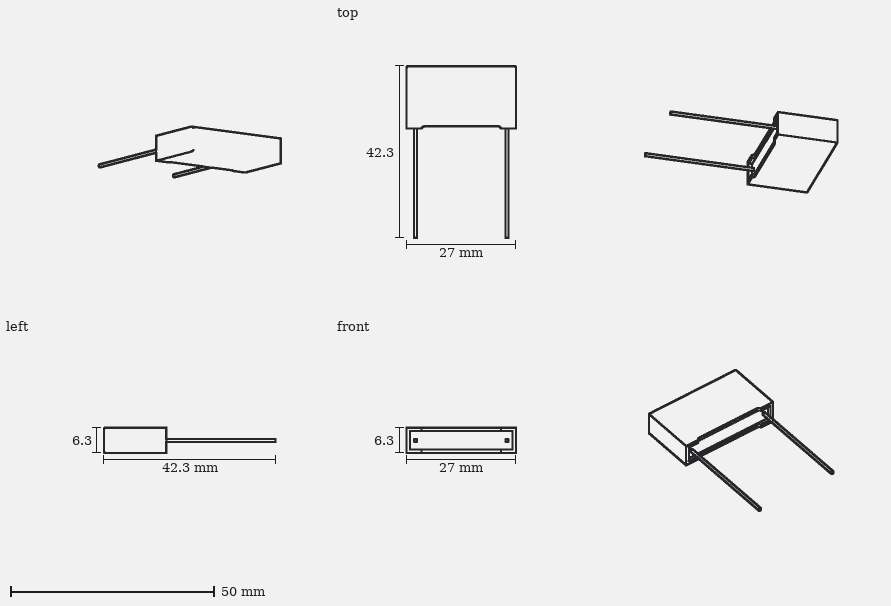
import cadquery as cq
import math

case_width = 27.0
case_height = 6.3
case_depth = 15.4
wall = 0.9
rear_edge_radius = 0.45

relief_inset = 3.72
relief_run = 0.9
relief_depth = 0.55

resin_recess = 0.9
overall_length = 42.3
lead_pitch = 22.5
lead_diameter = 0.8

cavity_width = case_width - 2 * wall
cavity_height = case_height - 2 * wall
lead_tip_y = case_depth - overall_length


def block(width, height, y_start, y_end):
    """Box centred on X and Z, reaching from y_start to y_end."""
    return cq.Workplane("XY").box(
        width, y_end - y_start, height, centered=(True, False, True)
    ).translate((0, y_start, 0))


def make_rim_relief():
    """Cutter with ends that curve smoothly into its floor."""
    outer_x = case_width / 2 - relief_inset
    floor_x = outer_x - relief_run
    radius = (relief_run**2 + relief_depth**2) / (2 * relief_depth)
    half_sweep = math.asin(relief_run / radius) / 2
    mid_x = floor_x + radius * math.sin(half_sweep)
    mid_y = relief_depth - radius * (1 - math.cos(half_sweep))
    return (
        cq.Workplane("XY")
        .moveTo(-outer_x, 0)
        .threePointArc((-mid_x, mid_y), (-floor_x, relief_depth))
        .lineTo(floor_x, relief_depth)
        .threePointArc((mid_x, mid_y), (outer_x, 0))
        .close()
        .extrude(case_height / 2, both=True)
    )


def make_case():
    shell = block(case_width, case_height, 0, case_depth)
    shell = shell.faces(">Y").edges().fillet(rear_edge_radius)
    cavity = block(cavity_width, cavity_height, 0, case_depth - wall)
    return shell.cut(cavity).cut(make_rim_relief())


def make_resin():
    """Fill from the recessed face to the rear wall of the case."""
    return block(cavity_width, cavity_height, resin_recess, case_depth - wall)


def make_lead(x):
    """Straight round wire from the resin face to its free tip."""
    wire = cq.Workplane("XZ").circle(lead_diameter / 2).extrude(resin_recess - lead_tip_y)
    return wire.translate((x, resin_recess, 0))


case = make_case()
resin = make_resin()
leads = [make_lead(side * lead_pitch / 2) for side in (-1, 1)]

result = cq.Compound.makeCompound([case.val(), resin.val(), *[lead.val() for lead in leads]])